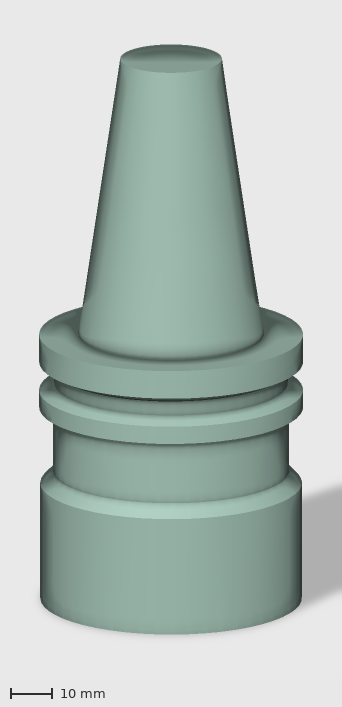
import cadquery as cq

total_height = 135.2

nut_diameter = 63.0
neck_diameter = 57.0
flange_diameter = 63.5
groove_diameter = 56.3
taper_large_diameter = 44.5
taper_small_diameter = 24.5

nut_height = 29.0
nut_chamfer_height = 3.1
neck_height = 15.8
lower_flange_height = 4.3
lower_groove_slope = 1.8
groove_floor_height = 3.5
upper_groove_slope = 1.8
upper_flange_height = 6.9
taper_collar_height = 0.7

nut_radius = nut_diameter / 2
neck_radius = neck_diameter / 2
flange_radius = flange_diameter / 2
groove_radius = groove_diameter / 2
taper_large_radius = taper_large_diameter / 2
taper_small_radius = taper_small_diameter / 2

neck_bottom = nut_height + nut_chamfer_height
flange_bottom = neck_bottom + neck_height
groove_bottom = flange_bottom + lower_flange_height
groove_floor_bottom = groove_bottom + lower_groove_slope
groove_floor_top = groove_floor_bottom + groove_floor_height
groove_top = groove_floor_top + upper_groove_slope
flange_top = groove_top + upper_flange_height
taper_bottom = flange_top + taper_collar_height

profile = [
    (0, 0),
    (nut_radius, 0),
    (nut_radius, nut_height),
    (neck_radius, neck_bottom),
    (neck_radius, flange_bottom),
    (flange_radius, flange_bottom),
    (flange_radius, groove_bottom),
    (groove_radius, groove_floor_bottom),
    (groove_radius, groove_floor_top),
    (flange_radius, groove_top),
    (flange_radius, flange_top),
    (taper_large_radius, flange_top),
    (taper_large_radius, taper_bottom),
    (taper_small_radius, total_height),
    (0, total_height),
]

result = cq.Workplane("XZ").polyline(profile).close().revolve(360, (0, 0), (0, 1))